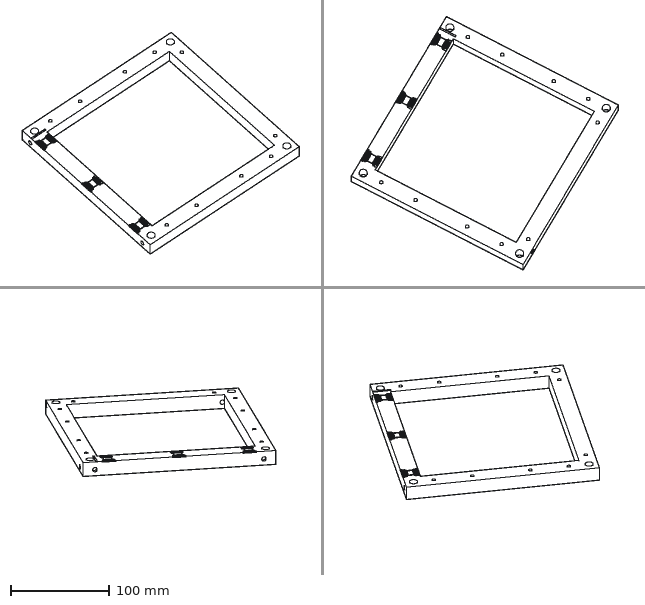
import cadquery as cq

frame_side = 200.0
frame_height = 15.0
bar_width = 18.0
frame_middle = frame_side / 2

bar_middle = bar_width / 2
corner_hole_diameter = 8.2
screw_hole_diameter = 3.5
side_screw_offsets = (30.0, 70.0)
rear_screw_offset = 73.0

pin_hole_diameter = 4.5
pin_hole_depth = 4.0
front_hole_inset = 12.5
front_hole_z = 6.5
side_hole_rear_inset = 3.8
side_hole_z = 10.8
rear_hole_inset = 20.2
rear_hole_z = 7.0
wire_hole_diameter = 3.2
wire_hole_depth = 10.0
wire_counterbore_diameter = 4.8
wire_counterbore_depth = 4.0
wire_hole_y = 17.0
wire_hole_z = 5.0

groove_x = 14.5
groove_width = 1.5
groove_length = 18.8
groove_depth = 0.2

column_offset = rear_screw_offset
column_thickness = 0.8
plinth_half_width = 7.0
plinth_top = 2.0
base_half_width = 6.2
base_top = 4.5
shaft_half_width = 4.5
shaft_bottom = 6.0
shaft_top = 12.0
capital_half_width = 6.2
capital_bottom = 13.8
capital_neck_half_width = 5.5
capital_neck_y = 14.8
abacus_bottom = 15.5

moulding_width = 0.5
moulding_depth = 0.2
mouldings = (
    (1.0, plinth_half_width),
    (plinth_top, base_half_width),
    (3.2, base_half_width),
    (base_top, base_half_width),
    (5.2, shaft_half_width),
    (shaft_bottom, shaft_half_width),
    (shaft_top, shaft_half_width),
    (12.8, shaft_half_width),
    (capital_bottom, capital_neck_half_width),
    (capital_neck_y, capital_neck_half_width),
    (abacus_bottom, shaft_half_width),
    (17.0, shaft_half_width),
)


def cylinder(diameter, depth, start, direction):
    """Round cutter that runs from the start point along the direction."""
    return cq.Workplane(cq.Solid.makeCylinder(diameter / 2, depth, cq.Vector(*start), cq.Vector(*direction)))


def frame_blank():
    opening = frame_side - 2 * bar_width
    return (
        cq.Workplane("XY")
        .center(frame_middle, frame_middle)
        .rect(frame_side, frame_side)
        .rect(opening, opening)
        .extrude(frame_height)
    )


def cut_vertical_holes(body):
    bar_offset = frame_middle - bar_middle
    corners = [(sx * bar_offset, sy * bar_offset) for sx in (-1, 1) for sy in (-1, 1)]
    screws = [
        (sx * bar_offset, sy * offset)
        for sx in (-1, 1)
        for sy in (-1, 1)
        for offset in side_screw_offsets
    ]
    screws += [(sx * rear_screw_offset, bar_offset) for sx in (-1, 1)]
    for points, diameter in ((corners, corner_hole_diameter), (screws, screw_hole_diameter)):
        cutters = (
            cq.Workplane("XY")
            .center(frame_middle, frame_middle)
            .pushPoints(points)
            .circle(diameter / 2)
            .extrude(frame_height)
        )
        body = body.cut(cutters)
    return body


def cut_pin_holes(body):
    for x in (front_hole_inset, frame_side - front_hole_inset):
        body = body.cut(cylinder(pin_hole_diameter, pin_hole_depth, (x, 0, front_hole_z), (0, 1, 0)))
    side_start = (0, frame_side - side_hole_rear_inset, side_hole_z)
    body = body.cut(cylinder(pin_hole_diameter, pin_hole_depth, side_start, (1, 0, 0)))
    rear_start = (frame_side - rear_hole_inset, frame_side - bar_width, rear_hole_z)
    return body.cut(cylinder(pin_hole_diameter, bar_width, rear_start, (0, 1, 0)))


def cut_wire_hole(body):
    start = (0, wire_hole_y, wire_hole_z)
    body = body.cut(cylinder(wire_hole_diameter, wire_hole_depth, start, (1, 0, 0)))
    return body.cut(cylinder(wire_counterbore_diameter, wire_counterbore_depth, start, (1, 0, 0)))


def cut_groove(body):
    cutter = (
        cq.Workplane("XY")
        .workplane(offset=frame_height - groove_depth)
        .center(groove_x, groove_length / 2)
        .rect(groove_width, groove_length)
        .extrude(groove_depth)
    )
    return body.cut(cutter)


def column_blank(x):
    """Column outline that spans the front bar, flush with the top of the frame."""
    right_side = [
        (plinth_half_width, 0),
        (plinth_half_width, plinth_top),
        (base_half_width, plinth_top),
        (base_half_width, base_top),
        (shaft_half_width, shaft_bottom),
        (shaft_half_width, shaft_top),
        (capital_half_width, capital_bottom),
        (capital_neck_half_width, capital_neck_y),
        (capital_half_width, abacus_bottom),
        (capital_half_width, bar_width),
    ]
    left_side = [(-half_width, y) for half_width, y in reversed(right_side)]
    return (
        cq.Workplane("XY", origin=(x, 0, frame_height - column_thickness))
        .polyline(right_side + left_side)
        .close()
        .extrude(column_thickness)
    )


def column_inlay(x):
    column = column_blank(x)
    for y, half_width in mouldings:
        line = (
            cq.Workplane("XY", origin=(x, y, frame_height - moulding_depth))
            .rect(2 * half_width, moulding_width)
            .extrude(moulding_depth)
        )
        column = column.cut(line)
    return column


column_places = [frame_middle + side * column_offset for side in (-1, 0, 1)]
columns = [column_inlay(x) for x in column_places]

frame = frame_blank()
frame = cut_vertical_holes(frame)
frame = cut_pin_holes(frame)
frame = cut_wire_hole(frame)
frame = cut_groove(frame)
for column_x in column_places:
    frame = frame.cut(column_blank(column_x))

result = cq.Compound.makeCompound([frame.val(), *[column.val() for column in columns]])